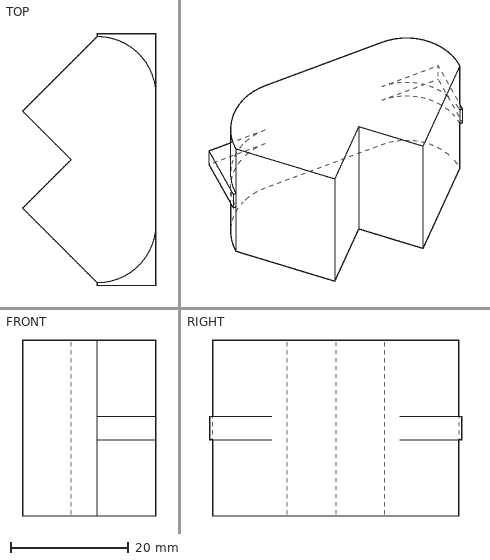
import cadquery as cq
import math

depth = 22.75
body_width = 42.0
height = 30.0
corner_radius = 10.0

tab_span = 43.0
tab_height = 4.0

half_width = body_width / 2
shoulder_x = depth - corner_radius
tip_y = half_width - shoulder_x
notch_depth = tip_y
arc_center_y = half_width - corner_radius
arc_offset = corner_radius * math.sqrt(0.5)
arc_mid_x = shoulder_x + arc_offset
arc_mid_y = arc_center_y + arc_offset


def make_body():
    """Prism with two pointed lobes, a V notch between them and round back corners."""
    return (
        cq.Workplane("XY")
        .moveTo(notch_depth, 0)
        .lineTo(0, -tip_y)
        .lineTo(shoulder_x, -half_width)
        .threePointArc((arc_mid_x, -arc_mid_y), (depth, -arc_center_y))
        .lineTo(depth, arc_center_y)
        .threePointArc((arc_mid_x, arc_mid_y), (shoulder_x, half_width))
        .lineTo(0, tip_y)
        .close()
        .extrude(height)
    )


def make_tab_plate():
    """Plate through the body at mid height that squares off both back corners."""
    return (
        cq.Workplane("XY")
        .box(corner_radius, tab_span, tab_height)
        .translate((shoulder_x + corner_radius / 2, 0, height / 2))
    )


result = make_body().union(make_tab_plate())